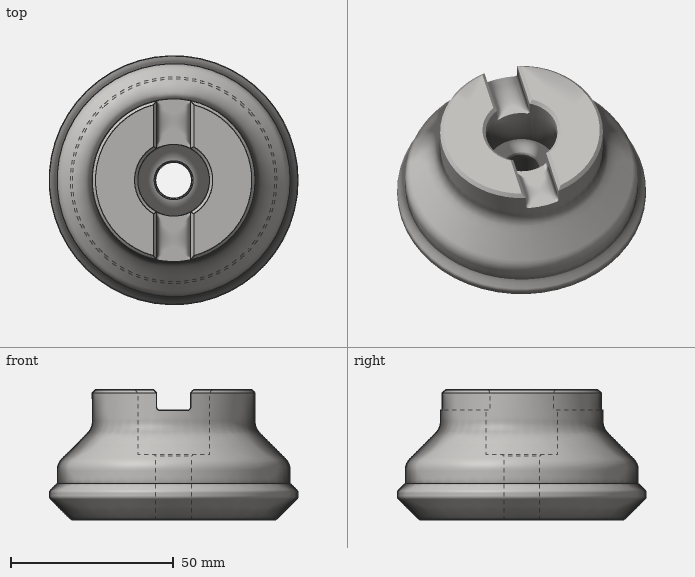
import cadquery as cq
import math

rim_radius = 38.2
total_height = 40.05
rim_bottom = 7.3
rim_top = 8.25
rim_round = 1.3
base_chamfer = 0.3

body_radius = 35.75
neck_radius = 25.0
body_top = 15.3
cone_round = 5.0
edge_chamfer = 1.0

through_radius = 5.5
through_chamfer = 0.45
bore_radius = 11.0
bore_depth = 20.0
slot_half_width = 5.2
slot_depth = 6.35
slot_round = 0.9

SIN_45 = math.sqrt(0.5)
SIN_HALF = math.sin(math.pi / 8)
COS_HALF = math.cos(math.pi / 8)


def round_rise(radius, sine=SIN_45):
    """Axial length of a round, measured from its vertical end."""
    return radius * sine


def round_inset(radius, cosine=SIN_45):
    """Radial width of a round, measured from its vertical end."""
    return radius * (1 - cosine)


cone_start_radius = rim_radius - round_inset(rim_round)
cone_start_top = rim_top + round_rise(rim_round)
cone_start_bottom = rim_bottom - round_rise(rim_round)
joint_height = cone_start_top + cone_start_radius - body_radius
bore_floor = total_height - bore_depth


def make_cutting_ring():
    """Double-coned ring with a rounded rim and a central through hole."""
    mid_radius = rim_radius - round_inset(rim_round, COS_HALF)
    mid_rise = round_rise(rim_round, SIN_HALF)
    bevel_radius = cone_start_radius - (cone_start_bottom - base_chamfer)
    return (
        cq.Workplane("XZ")
        .moveTo(through_radius, 0)
        .lineTo(bevel_radius - 2 * base_chamfer, 0)
        .lineTo(bevel_radius, base_chamfer)
        .lineTo(cone_start_radius, cone_start_bottom)
        .threePointArc((mid_radius, rim_bottom - mid_rise), (rim_radius, rim_bottom))
        .lineTo(rim_radius, rim_top)
        .threePointArc((mid_radius, rim_top + mid_rise), (cone_start_radius, cone_start_top))
        .lineTo(body_radius, joint_height)
        .lineTo(through_radius, joint_height)
        .close()
        .revolve(360, (0, 0, 0), (0, 1, 0))
    )


def make_hub_blank():
    """Stepped hub with its stepped bore, before the slot is cut."""
    rise = round_rise(cone_round)
    inset = round_inset(cone_round)
    mid_rise = round_rise(cone_round, SIN_HALF)
    mid_inset = round_inset(cone_round, COS_HALF)
    cone_bottom = body_top + rise
    cone_top = cone_bottom + body_radius - neck_radius - 2 * inset
    neck_bottom = cone_top + rise
    return (
        cq.Workplane("XZ")
        .moveTo(through_radius, joint_height)
        .lineTo(body_radius, joint_height)
        .lineTo(body_radius, body_top)
        .threePointArc((body_radius - mid_inset, body_top + mid_rise), (body_radius - inset, cone_bottom))
        .lineTo(neck_radius + inset, cone_top)
        .threePointArc((neck_radius + mid_inset, neck_bottom - mid_rise), (neck_radius, neck_bottom))
        .lineTo(neck_radius, total_height - edge_chamfer)
        .lineTo(neck_radius - edge_chamfer, total_height)
        .lineTo(bore_radius + edge_chamfer, total_height)
        .lineTo(bore_radius, total_height - edge_chamfer)
        .lineTo(bore_radius, bore_floor)
        .lineTo(through_radius + through_chamfer, bore_floor)
        .lineTo(through_radius, bore_floor - through_chamfer)
        .close()
        .revolve(360, (0, 0, 0), (0, 1, 0))
    )


def make_slot():
    """Driving slot along Y with rounded floor corners and chamfered top edges."""
    length = 2 * body_radius
    floor = total_height - slot_depth
    channel = (
        cq.Workplane("XY")
        .box(2 * slot_half_width, length, slot_depth, centered=(True, True, False))
        .translate((0, 0, floor))
        .edges("|Y and <Z")
        .fillet(slot_round)
    )
    bevel = (
        cq.Workplane("XZ")
        .moveTo(-slot_half_width, total_height - edge_chamfer)
        .lineTo(slot_half_width, total_height - edge_chamfer)
        .lineTo(slot_half_width + edge_chamfer, total_height)
        .lineTo(-slot_half_width - edge_chamfer, total_height)
        .close()
        .extrude(length / 2, both=True)
    )
    return channel.union(bevel)


cutting_ring = make_cutting_ring()
hub = make_hub_blank().cut(make_slot())

result = cq.Compound.makeCompound([hub.val(), cutting_ring.val()])